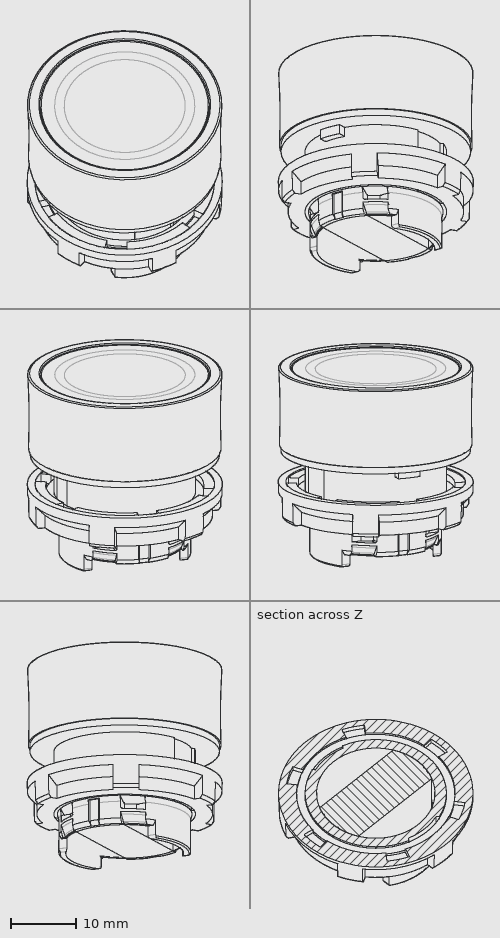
import cadquery as cq
import math

ring_bottom_z = 1.98
taper_top_z = 2.75
window_floor_z = 4.25
neck_bottom_z = 5.43
groove_top_z = 6.1
nut_bottom_z = 6.33
flange_bottom_z = 9.9
nut_top_z = 11.45
bezel_bottom_z = 16.3
skirt_top_z = 17.35
top_z = 29.6

tube_radius = 10.15
bore_radius = 9.05
neck_radius = 10.35
taper_inset = 0.33
foot_half_width = 5.7
foot_chamfer = 0.25
foot_side_fillet = 0.45

window_inner_x = 4.17
window_outer_x = 7.32
window_side_y = 7.0
window_corner_chamfer = 0.2
window_roof_inner_z = 5.3
window_roof_outer_z = 6.18
hook_top_z = 3.8
hook_lip_z = 3.42
hook_lip_radius = 9.93
hook_foot_z = 2.43
hook_foot_radius = 9.35
hook_toe_z = 2.15
hook_toe_radius = 9.25

groove_depth = 0.15
groove_floor_half_width = 0.75
groove_mouth_half_width = 0.95

barrel_radius = 10.9
channel_radius = 10.45
channel_floor_half_width = 3.03
channel_mouth_half_width = 3.33
tab_half_width = 1.8
tab_height = 1.5
tab_outer_radius = 12.25

skirt_radius = 14.58
bezel_bottom_radius = 14.82
bezel_waist_radius = 14.73
bezel_top_radius = 14.95
bezel_edge_height = 0.15
bezel_edge_inset = 0.3
bezel_bore_radius = 13.02
bezel_bore_chamfer = 0.18

button_radius = 12.85
button_recess = 0.25
button_thickness = 8.4
dish_radius = 9.3
dish_rim_radius = 10.77
dish_depth = 0.65
stem_half_width = window_inner_x

nut_radius = 15.0
nut_draft = 0.1
nut_body_radius = 13.5
lug_count = 6
lug_width = 4.0
lug_offset_angle = -1.3
lug_chamfer_height = 0.55
lug_chamfer_inset = 0.4
recess_radius = 13.8
recess_ring_radius = 12.15
recess_floor_z = 10.2
sector_top_z = 11.25
notch_floor_z = 9.75
notch_angle = 14.5

overcut = 0.3


def revolve_profile(points):
    """Solid of revolution about Z from closed (radius, height) points."""
    return cq.Workplane("XZ").polyline(points).close().revolve(360, (0, 0, 0), (0, 1, 0))


def cylinder(radius, low_z, high_z):
    return cq.Workplane("XY").workplane(offset=low_z).circle(radius).extrude(high_z - low_z)


def ring(outer_radius, inner_radius, low_z, high_z):
    profile = cq.Workplane("XY").workplane(offset=low_z).circle(outer_radius).circle(inner_radius)
    return profile.extrude(high_z - low_z)


def block(x_range, y_range, z_range):
    """Axis-aligned box between the given pairs of limits."""
    sizes = [high - low for low, high in (x_range, y_range, z_range)]
    corner = (x_range[0], y_range[0], z_range[0])
    return cq.Workplane("XY").box(*sizes, centered=False).translate(corner)


def side_channel(outer_radius, floor_radius, mouth_half_width, floor_half_width, low_z, high_z):
    """Cutter on +X: a channel with sloped walls whose floor is a cylinder about Z."""
    floor_corner_x = math.sqrt(floor_radius**2 - floor_half_width**2)
    mouth_x = math.sqrt(outer_radius**2 - mouth_half_width**2)
    outer_x = outer_radius + overcut
    outline = (
        cq.Workplane("XY")
        .workplane(offset=low_z)
        .moveTo(floor_corner_x, -floor_half_width)
        .lineTo(mouth_x, -mouth_half_width)
        .lineTo(outer_x, -mouth_half_width)
        .lineTo(outer_x, mouth_half_width)
        .lineTo(mouth_x, mouth_half_width)
        .lineTo(floor_corner_x, floor_half_width)
        .threePointArc((floor_radius, 0), (floor_corner_x, -floor_half_width))
        .close()
    )
    return outline.extrude(high_z - low_z)


def lower_tube():
    """Tapered ring carrying two feet on the -X and +X sides."""
    tube = revolve_profile([
        (bore_radius, ring_bottom_z),
        (tube_radius - taper_inset, ring_bottom_z),
        (tube_radius, taper_top_z),
        (tube_radius, neck_bottom_z),
        (neck_radius, nut_bottom_z),
        (bore_radius, nut_bottom_z),
    ])
    foot_ring = revolve_profile([
        (bore_radius, 0),
        (tube_radius - foot_chamfer, 0),
        (tube_radius, foot_chamfer),
        (tube_radius, neck_bottom_z),
        (bore_radius, neck_bottom_z),
    ])
    foot_band = (
        block((-nut_radius, nut_radius), (-foot_half_width, foot_half_width), (0, neck_bottom_z))
        .edges("|X and <Z")
        .fillet(foot_side_fillet)
    )
    return tube.union(foot_ring.intersect(foot_band))


def quadrant_column(inner_y, low_z):
    """Upright block as wide as a window, in the +X +Y quadrant."""
    return block((window_inner_x, window_outer_x), (inner_y, nut_radius), (low_z, nut_top_z))


def in_each_quadrant(shape, column):
    """Parts of a shape inside a column and its mirror images in all four quadrants."""
    columns = column.union(column.mirror("YZ"))
    columns = columns.union(columns.mirror("XZ"))
    return shape.intersect(columns)


def window_cutter():
    """Four openings through the tube wall under sloping conical roofs."""
    roof_slope = (window_roof_outer_z - window_roof_inner_z) / (tube_radius - bore_radius)
    reach = tube_radius + 2 * overcut
    inner = bore_radius - overcut
    opening = ring(reach, inner, window_floor_z, window_roof_inner_z)
    roof = revolve_profile([
        (bore_radius, window_roof_inner_z),
        (reach, window_roof_inner_z),
        (reach, window_roof_outer_z + roof_slope * (reach - tube_radius)),
    ])
    window_column = (
        quadrant_column(window_side_y, window_floor_z)
        .edges("|Y")
        .edges("<X")
        .edges("<Z")
        .chamfer(window_corner_chamfer)
    )
    roof_column = quadrant_column(foot_half_width, window_roof_inner_z)
    return in_each_quadrant(opening, window_column).union(in_each_quadrant(roof, roof_column))


def hook_pocket_cutter():
    """Four lead-in pockets below the windows, sloping inward to the bottom."""
    reach = tube_radius + overcut
    pocket = revolve_profile([
        (hook_toe_radius, ring_bottom_z - overcut),
        (reach, ring_bottom_z - overcut),
        (reach, hook_top_z),
        (tube_radius, hook_top_z),
        (hook_lip_radius, hook_lip_z),
        (hook_foot_radius, hook_foot_z),
        (hook_toe_radius, hook_toe_z),
    ])
    return in_each_quadrant(pocket, quadrant_column(foot_half_width, 0))


def barrel():
    """Round barrel with a channel down each side and a tab under the bezel."""
    body = ring(barrel_radius, bore_radius, nut_bottom_z, bezel_bottom_z)
    channel = side_channel(
        barrel_radius,
        channel_radius,
        channel_mouth_half_width,
        channel_floor_half_width,
        nut_bottom_z,
        bezel_bottom_z,
    )
    body = body.cut(channel).cut(channel.mirror("YZ"))
    tab_bottom_z = bezel_bottom_z - tab_height
    tab = ring(tab_outer_radius, channel_radius, tab_bottom_z, bezel_bottom_z).intersect(
        block((-tab_half_width, tab_half_width), (0, nut_radius), (tab_bottom_z, bezel_bottom_z))
    )
    return body.union(tab)


def bezel():
    """Deep collar with a waisted side and a bore for the button."""
    edge_z = top_z - bezel_edge_height
    waist_z = (skirt_top_z + edge_z) / 2
    collar = (
        cq.Workplane("XZ")
        .moveTo(bore_radius, bezel_bottom_z)
        .lineTo(skirt_radius, bezel_bottom_z)
        .lineTo(skirt_radius, skirt_top_z)
        .lineTo(bezel_bottom_radius, skirt_top_z)
        .threePointArc((bezel_waist_radius, waist_z), (bezel_top_radius, edge_z))
        .lineTo(bezel_top_radius - bezel_edge_inset, top_z)
        .lineTo(bezel_bore_radius + bezel_bore_chamfer, top_z)
        .lineTo(bezel_bore_radius, top_z - bezel_bore_chamfer)
        .lineTo(bezel_bore_radius, skirt_top_z)
        .lineTo(bore_radius, skirt_top_z)
        .close()
    )
    return collar.revolve(360, (0, 0, 0), (0, 1, 0))


def key_groove_cutter():
    """Cutter on +X for a key groove whose floor follows the taper of the tube."""
    floor_radius = tube_radius - groove_depth
    groove = side_channel(
        tube_radius,
        floor_radius,
        groove_mouth_half_width,
        groove_floor_half_width,
        ring_bottom_z,
        groove_top_z,
    )
    taper = revolve_profile([
        (floor_radius - taper_inset, ring_bottom_z),
        (tube_radius, ring_bottom_z),
        (tube_radius, taper_top_z),
        (floor_radius, taper_top_z),
    ])
    strip = block(
        (0, tube_radius),
        (-groove_floor_half_width, groove_floor_half_width),
        (ring_bottom_z, taper_top_z),
    )
    return groove.union(taper.intersect(strip))


def make_housing():
    body = lower_tube().cut(window_cutter()).cut(hook_pocket_cutter())
    groove = key_groove_cutter()
    for angle in (90, 270):
        body = body.cut(groove.rotate((0, 0, 0), (0, 0, 1), angle))
    return body.union(barrel()).union(bezel())


def make_button():
    """Cap with a spherical dish blended into its flat rim, on a flat-sided stem."""
    edge_slope = 2 * dish_depth / dish_rim_radius
    cap_top_z = top_z - button_recess
    edge_z = cap_top_z - edge_slope * (dish_rim_radius - dish_radius) / 2
    cap_bottom_z = cap_top_z - button_thickness
    cap = (
        cq.Workplane("XZ")
        .moveTo(0, cap_bottom_z)
        .lineTo(button_radius, cap_bottom_z)
        .lineTo(button_radius, cap_top_z)
        .lineTo(dish_rim_radius, cap_top_z)
        .tangentArcPoint((dish_radius, edge_z), relative=False)
        .tangentArcPoint((0, cap_top_z - dish_depth), relative=False)
        .close()
        .revolve(360, (0, 0, 0), (0, 1, 0))
    )
    stem = cylinder(bore_radius, ring_bottom_z, cap_bottom_z).intersect(
        block(
            (-stem_half_width, stem_half_width),
            (-bore_radius, bore_radius),
            (ring_bottom_z, cap_bottom_z),
        )
    )
    return cap.union(stem)


def nut_lugs():
    """Six grip lugs filling the space below the flange edge."""
    lug_bottom_radius = nut_radius - nut_draft - lug_chamfer_inset
    lug_ring = revolve_profile([
        (barrel_radius, nut_bottom_z),
        (lug_bottom_radius, nut_bottom_z),
        (nut_radius - nut_draft, nut_bottom_z + lug_chamfer_height),
        (nut_radius, nut_top_z),
        (recess_radius, nut_top_z),
        (recess_radius, notch_floor_z),
        (barrel_radius, notch_floor_z),
    ])
    arm = block(
        (0, nut_radius + overcut),
        (-lug_width / 2, lug_width / 2),
        (nut_bottom_z, nut_top_z),
    )
    arms = cq.Workplane("XY")
    for index in range(lug_count):
        angle = lug_offset_angle + index * 360 / lug_count
        arms = arms.union(arm.rotate((0, 0, 0), (0, 0, 1), angle))
    return lug_ring.intersect(arms)


def nut_notch(angle):
    """Cutter for one radial-sided notch in the raised ring of the nut recess."""
    half_angle = math.radians(notch_angle / 2)
    far = 2 * recess_radius
    wedge = (
        cq.Workplane("XY")
        .workplane(offset=notch_floor_z)
        .polyline([
            (0, 0),
            (far, -far * math.tan(half_angle)),
            (far, far * math.tan(half_angle)),
        ])
        .close()
        .extrude(nut_top_z - notch_floor_z)
    )
    band = ring(recess_radius, recess_ring_radius, notch_floor_z, nut_top_z)
    return band.intersect(wedge).rotate((0, 0, 0), (0, 0, 1), angle)


def make_nut():
    flange_drop = nut_radius - nut_body_radius
    flange_edge_radius = nut_radius - nut_draft * (nut_top_z - flange_bottom_z) / (
        nut_top_z - nut_bottom_z - lug_chamfer_height
    )
    body = revolve_profile([
        (barrel_radius, nut_bottom_z),
        (nut_body_radius, nut_bottom_z),
        (nut_body_radius, flange_bottom_z - flange_drop),
        (flange_edge_radius, flange_bottom_z),
        (nut_radius, nut_top_z),
        (recess_radius, nut_top_z),
        (recess_radius, sector_top_z),
        (recess_ring_radius, sector_top_z),
        (recess_ring_radius, recess_floor_z),
        (barrel_radius, recess_floor_z),
    ])
    body = body.union(nut_lugs())
    notch_pitch = 360 / lug_count
    for index in range(lug_count):
        body = body.cut(nut_notch(lug_offset_angle + (index + 0.5) * notch_pitch))
    return body


housing = make_housing().solids().val()
button = make_button().solids().val()
nut = make_nut().solids().val()

result = cq.Compound.makeCompound([housing, button, nut])